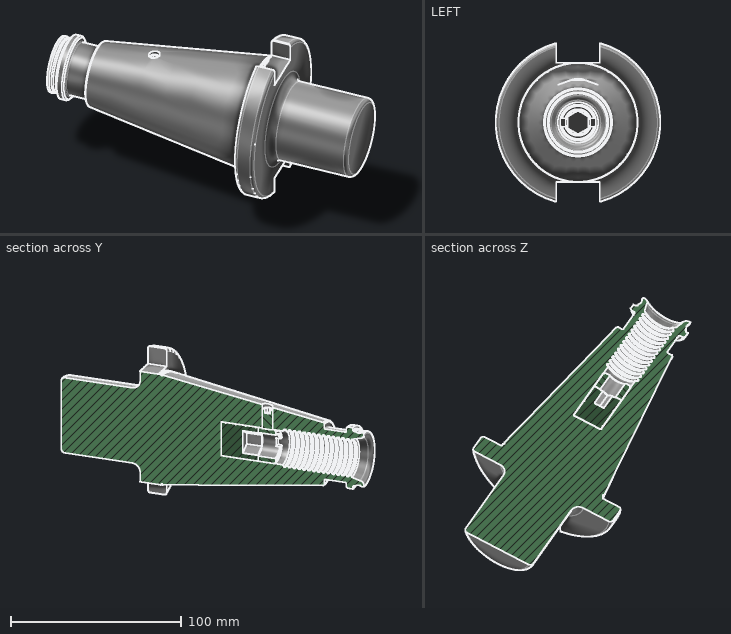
import cadquery as cq
import math

LENGTH = 191.8
TAIL_X = -LENGTH / 2

LIP_R = 17.3
LIP_CHAMFER_DROP = 0.2
LIP_CHAMFER_END = 0.8
LIP_END = 1.5
GROOVE_R = 16.7
GROOVE_START = 2.7
GROOVE_END = 3.8
RAMP_END = 5.5
SHOULDER_R = 17.8
SHOULDER_START = 6.5
COLLAR_R = 19.5
COLLAR_START = 7.1
COLLAR_END = 11.3
COLLAR_CHAMFER = 1.0
NECK_R = 16.1
NECK_FILLET = 0.5

TAPER_START = 25.0
TAPER_END = 127.4
TAPER_LARGE_R = 35.0
TAPER_SLOPE = 7 / 48
TAPER_CHAMFER = 0.8
RELIEF_R = 34.3
RELIEF_X = 128.1
BAND_R = 35.1
BAND_START = 128.7

FLANGE_R = 96.9 / 2
FLANGE_START = 130.0
FLANGE_END = 142.0
FLANGE_ROUND = 2.0
KEY_WIDTH = 25.5
KEY_CHAMFER = 0.4
KEY_FLOOR = BAND_R

SHANK_R = 24.0
SHANK_FILLET = 5.0
SHANK_ROUND = 2.3

MOUTH_R = 13.2
MOUTH_ROUND = 2.9
SEAT_R = 11.9
SEAT_START = 7.7
BORE_R = 10.5
BORE_START = 8.5
THREAD_FLANK = 0.8
THREAD_PITCH = 3.0
THREAD_CREST = 0.8
THREAD_TURNS = 14

RING_START = 55.6
RING_LENGTH = 11.5
RING_HOLE_R = 7.3
RING_OUTER_CHAMFER = 1.0
RING_INNER_CHAMFER = 0.5
RING_SLOT_WIDTH = 5.2
RING_SLOT_DEPTH = 2.9

CLAMP_LENGTH = 23.0
CLAMP_HEX = 12.0
CLAMP_HEX_DEPTH = 9.5

SET_X = 61.2
SET_R = 3.3
SET_TOP = 23.4
SET_CHAMFER = 1.0
SET_HEX = 2.9
SET_HEX_DEPTH = 2.9

RING_END = RING_START + RING_LENGTH
BORE_END = RING_END + CLAMP_LENGTH
SET_BOTTOM = BORE_R


def spin(outline):
    """Turn a half outline, drawn as (x, radius), around the X axis."""
    return outline.close().revolve(360, (0, 0, 0), (1, 0, 0)).translate((TAIL_X, 0, 0))


def hex_diameter(across_flats):
    """Corner-to-corner size of a hexagon."""
    return across_flats / math.cos(math.pi / 6)


def holder_blank():
    """Outer turned shape of the holder."""
    taper_small_r = TAPER_LARGE_R - TAPER_SLOPE * (TAPER_END - TAPER_START)
    chamfer_r = taper_small_r + TAPER_SLOPE * TAPER_CHAMFER
    outline = (
        cq.Workplane("XZ")
        .moveTo(0, 0)
        .lineTo(0, LIP_R - LIP_CHAMFER_DROP)
        .lineTo(LIP_CHAMFER_END, LIP_R)
        .lineTo(LIP_END, LIP_R)
        .lineTo(GROOVE_START, GROOVE_R)
        .lineTo(GROOVE_END, GROOVE_R)
        .lineTo(RAMP_END, LIP_R)
        .lineTo(SHOULDER_START, LIP_R)
        .lineTo(SHOULDER_START, SHOULDER_R)
        .lineTo(COLLAR_START, SHOULDER_R)
        .lineTo(COLLAR_START, COLLAR_R)
        .lineTo(COLLAR_END - COLLAR_CHAMFER, COLLAR_R)
        .lineTo(COLLAR_END, COLLAR_R - COLLAR_CHAMFER)
        .lineTo(COLLAR_END, NECK_R + NECK_FILLET)
        .radiusArc((COLLAR_END + NECK_FILLET, NECK_R), -NECK_FILLET)
        .lineTo(TAPER_START - NECK_FILLET, NECK_R)
        .radiusArc((TAPER_START, NECK_R + NECK_FILLET), -NECK_FILLET)
        .lineTo(TAPER_START, chamfer_r - TAPER_CHAMFER)
        .lineTo(TAPER_START + TAPER_CHAMFER, chamfer_r)
        .lineTo(TAPER_END, TAPER_LARGE_R)
        .lineTo(RELIEF_X, RELIEF_R)
        .lineTo(BAND_START, BAND_R)
        .lineTo(FLANGE_START, BAND_R)
        .lineTo(FLANGE_START, FLANGE_R - FLANGE_ROUND)
        .radiusArc((FLANGE_START + FLANGE_ROUND, FLANGE_R), FLANGE_ROUND)
        .lineTo(FLANGE_END - FLANGE_ROUND, FLANGE_R)
        .radiusArc((FLANGE_END, FLANGE_R - FLANGE_ROUND), FLANGE_ROUND)
        .lineTo(FLANGE_END, SHANK_R + SHANK_FILLET)
        .radiusArc((FLANGE_END + SHANK_FILLET, SHANK_R), -SHANK_FILLET)
        .lineTo(LENGTH - SHANK_ROUND, SHANK_R)
        .radiusArc((LENGTH, SHANK_R - SHANK_ROUND), SHANK_ROUND)
        .lineTo(LENGTH, 0)
    )
    return spin(outline)


def holder_bore():
    """Bore with a rounded mouth, a conical seat and ring-shaped thread grooves."""
    outline = (
        cq.Workplane("XZ")
        .moveTo(0, 0)
        .lineTo(0, MOUTH_R + MOUTH_ROUND)
        .radiusArc((MOUTH_ROUND, MOUTH_R), -MOUTH_ROUND)
        .lineTo(SEAT_START, SEAT_R)
        .lineTo(BORE_START, BORE_R)
    )
    for turn in range(THREAD_TURNS):
        crest_end = BORE_START + turn * THREAD_PITCH + THREAD_CREST
        next_crest = BORE_START + (turn + 1) * THREAD_PITCH
        outline = (
            outline.lineTo(crest_end, BORE_R)
            .lineTo(crest_end + THREAD_FLANK, SEAT_R)
            .lineTo(next_crest - THREAD_FLANK, SEAT_R)
            .lineTo(next_crest, BORE_R)
        )
    return spin(outline.lineTo(BORE_END, BORE_R).lineTo(BORE_END, 0))


def key_slot():
    """Slot through the flange above the axis, chamfered where it opens at the rim."""
    half_width = KEY_WIDTH / 2
    corner_z = math.sqrt(FLANGE_R**2 - (half_width + KEY_CHAMFER) ** 2)
    return (
        cq.Workplane("YZ", origin=(TAIL_X + FLANGE_START, 0, 0))
        .moveTo(-half_width, KEY_FLOOR)
        .lineTo(-half_width, corner_z - KEY_CHAMFER)
        .lineTo(-half_width - KEY_CHAMFER, corner_z)
        .lineTo(-half_width - KEY_CHAMFER, FLANGE_R)
        .lineTo(half_width + KEY_CHAMFER, FLANGE_R)
        .lineTo(half_width + KEY_CHAMFER, corner_z)
        .lineTo(half_width, corner_z - KEY_CHAMFER)
        .lineTo(half_width, KEY_FLOOR)
        .close()
        .extrude(FLANGE_END - FLANGE_START)
    )


def set_screw_hole():
    """Radial hole from the taper down into the bore."""
    return cq.Workplane("XY").center(TAIL_X + SET_X, 0).circle(SET_R).extrude(TAPER_LARGE_R)


def make_holder():
    top_slot = key_slot()
    bottom_slot = top_slot.mirror("XY")
    return holder_blank().cut(holder_bore()).cut(top_slot).cut(bottom_slot).cut(set_screw_hole())


def make_slotted_ring():
    """Ring with chamfered edges and a slot across its rear face."""
    ring = spin(
        cq.Workplane("XZ")
        .moveTo(RING_START, RING_HOLE_R + RING_INNER_CHAMFER)
        .lineTo(RING_START, BORE_R - RING_OUTER_CHAMFER)
        .lineTo(RING_START + RING_OUTER_CHAMFER, BORE_R)
        .lineTo(RING_END, BORE_R)
        .lineTo(RING_END, RING_HOLE_R)
        .lineTo(RING_START + RING_INNER_CHAMFER, RING_HOLE_R)
    )
    slot = (
        cq.Workplane("XY")
        .box(RING_SLOT_DEPTH, 2 * BORE_R, RING_SLOT_WIDTH)
        .translate((TAIL_X + RING_START + RING_SLOT_DEPTH / 2, 0, 0))
    )
    return ring.cut(slot)


def make_clamp_screw():
    """Cylinder with a hexagon socket in its rear face, corners up and down."""
    face = cq.Workplane("YZ", origin=(TAIL_X + RING_END, 0, 0))
    socket = face.transformed(rotate=(0, 0, 90)).polygon(6, hex_diameter(CLAMP_HEX)).extrude(CLAMP_HEX_DEPTH)
    return face.circle(BORE_R).extrude(CLAMP_LENGTH).cut(socket)


def make_set_screw():
    """Headless screw with a hexagon socket at its top."""
    body = (
        cq.Workplane("XY", origin=(TAIL_X + SET_X, 0, SET_BOTTOM))
        .circle(SET_R)
        .extrude(SET_TOP - SET_BOTTOM)
        .faces(">Z")
        .chamfer(SET_CHAMFER)
    )
    return body.faces(">Z").workplane().polygon(6, hex_diameter(SET_HEX)).cutBlind(-SET_HEX_DEPTH)


holder = make_holder()
slotted_ring = make_slotted_ring()
clamp_screw = make_clamp_screw()
set_screw = make_set_screw()

result = cq.Compound.makeCompound(
    [holder.val(), slotted_ring.val(), clamp_screw.val(), set_screw.val()]
)